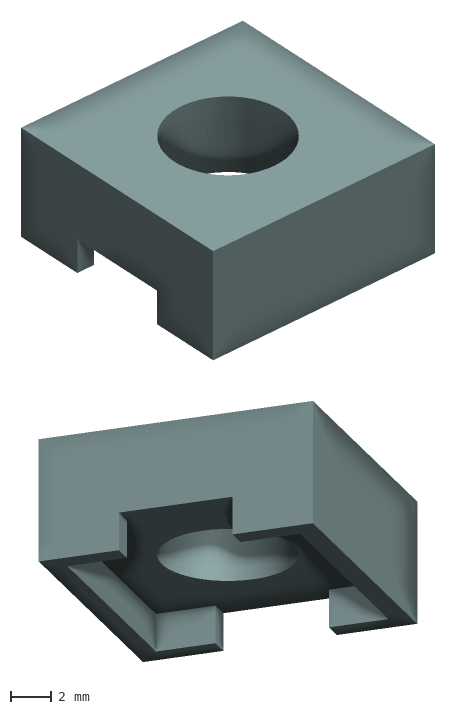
import cadquery as cq

side = 14.5
height = 6.5
hole_diameter = 7.0
recess_depth = 2.0
notch_width = 6.0
wall = 1.1

recess_side = side - 2 * wall


def block_on_base(size_x, size_y, size_z):
    """Box standing on Z = 0, centred on the Z axis."""
    return cq.Workplane("XY").box(size_x, size_y, size_z, centered=(True, True, False))


body = block_on_base(side, side, height)

hole = cq.Workplane("XY").circle(hole_diameter / 2).extrude(height)

recess = block_on_base(recess_side, recess_side, recess_depth)

notches = block_on_base(notch_width, side, recess_depth)

result = body.cut(hole).cut(recess).cut(notches)